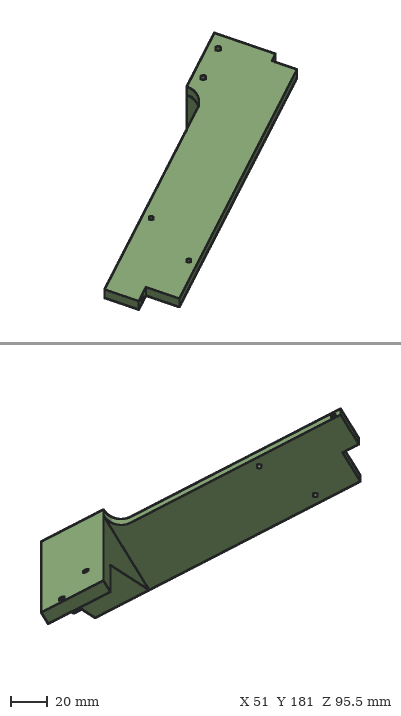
import cadquery as cq

width = 51.0
length = 181.0
height = 95.5

plate_thickness = 8.1
wall_thickness = 7.8
wall_length = 39.0
gusset_foot_height = 36.0
relief_radius = 11.0

back_notch_width = 14.8
back_notch_depth = 5.0
tab_width = 20.3
tab_length = 10.1

top_hole_diameter = 3.0
top_hole_inset = 6.0
top_hole_setbacks = (8.9, 29.9)

arm_hole_diameter = 2.5
arm_hole_inset = 5.0
left_arm_hole_y = 53.8
right_arm_hole_y = 35.5

wall_hole_diameter = 3.5
wall_holes = ((27.9, 25.2), (12.9, 4.9))

tab_hole_diameter = 2.5
tab_hole_y = 4.7

plate_bottom = height - plate_thickness
wall_front = length - wall_length


def make_plate():
    """Flat arm with a tab at its free end and a concave quarter round beside the wall."""
    return (
        cq.Workplane("XY", origin=(0, 0, plate_bottom))
        .moveTo(relief_radius, 0)
        .lineTo(relief_radius + tab_width, 0)
        .lineTo(relief_radius + tab_width, tab_length)
        .lineTo(width, tab_length)
        .lineTo(width, length)
        .lineTo(0, length)
        .lineTo(0, wall_front)
        .radiusArc((relief_radius, wall_front - relief_radius), relief_radius)
        .close()
        .extrude(plate_thickness)
    )


def make_wall():
    """Upright wall and its sloping gusset, reaching up to the top of the plate."""
    return (
        cq.Workplane("XZ", origin=(0, length, 0))
        .moveTo(0, 0)
        .lineTo(wall_thickness, 0)
        .lineTo(wall_thickness, gusset_foot_height)
        .lineTo(width, plate_bottom)
        .lineTo(width, height)
        .lineTo(0, height)
        .close()
        .extrude(wall_length)
    )


def make_back_notch():
    """Full-height block that squares off the back corner of the plate and gusset."""
    return (
        cq.Workplane("XY")
        .box(back_notch_width, back_notch_depth, height, centered=False)
        .translate((width - back_notch_width, length - back_notch_depth, 0))
    )


def vertical_hole(x, y, diameter):
    """Cylinder through the plate thickness."""
    return cq.Workplane("XY", origin=(x, y, plate_bottom)).circle(diameter / 2).extrude(plate_thickness)


def cross_hole(y, z, diameter):
    """Cylinder along X through the full width."""
    return cq.Workplane("YZ", origin=(0, y, z)).circle(diameter / 2).extrude(width)


result = make_plate().union(make_wall()).cut(make_back_notch())

for setback in top_hole_setbacks:
    result = result.cut(vertical_hole(top_hole_inset, length - setback, top_hole_diameter))

result = result.cut(vertical_hole(relief_radius + arm_hole_inset, left_arm_hole_y, arm_hole_diameter))
result = result.cut(vertical_hole(width - arm_hole_inset, right_arm_hole_y, arm_hole_diameter))

for setback, hole_height in wall_holes:
    result = result.cut(cross_hole(length - setback, hole_height, wall_hole_diameter))

result = result.cut(cross_hole(tab_hole_y, height - plate_thickness / 2, tab_hole_diameter))